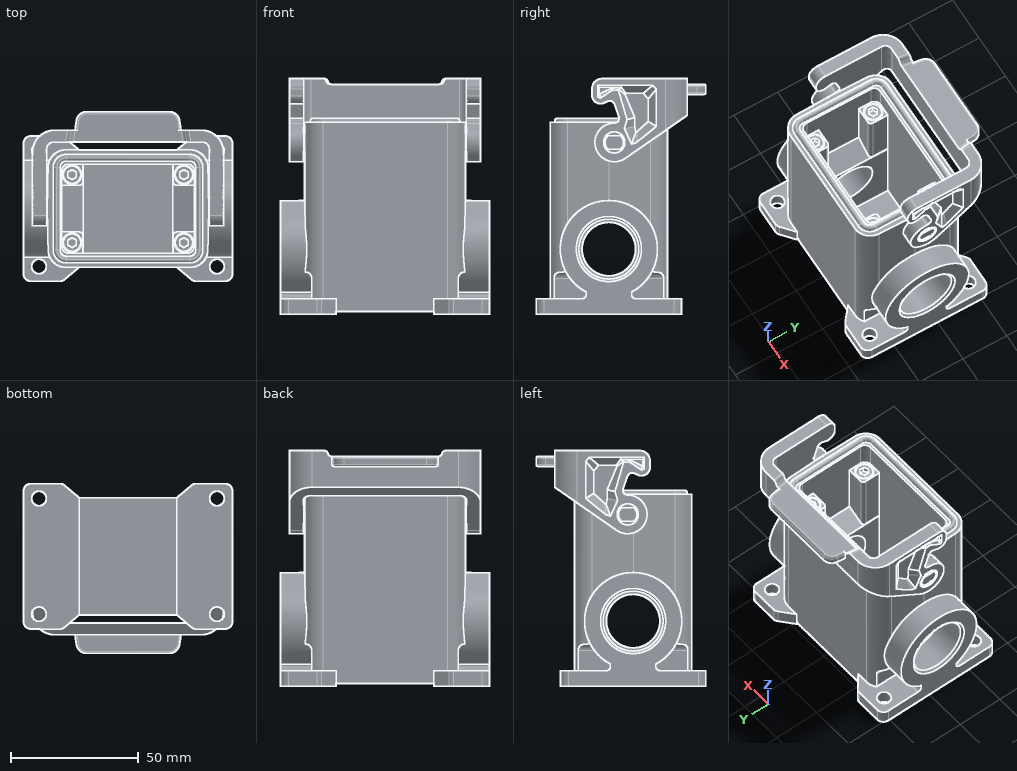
import cadquery as cq
import math

OVERALL_X, OVERALL_Y = 82.0, 66.5

BODY_BOTTOM, BODY_TOP = 1.1, 75.3
BODY_HALF_X, BODY_HALF_Y = 31.1, 23.0
SIDE_CROWN = 0.5
BODY_RADIUS = 6.9
CAVITY_HALF_X, CAVITY_HALF_Y = 26.0, 17.5
CAVITY_RADIUS = 2.8
FLOOR_Z = 4.6
BLOCK_INNER_X = 17.6
BLOCK_INNER_TOP, BLOCK_OUTER_TOP = 37.9, 41.95
WALL_MIDDLE_X = (CAVITY_HALF_X + BODY_HALF_X) / 2
RELIEF_X = 28.7
RELIEF_TOP = 16.6

LIP_HALF_X, LIP_HALF_Y = 29.3, 21.25
LIP_WIDTH, LIP_HEIGHT = 2.7, 1.6
LIP_ROUND = 1.3

POST_SIZE, POST_TOP, POST_ROUND = 8.3, 64.7, 1.4
SCREW_X, SCREW_Y = 21.9, 13.3
SCREW_HEAD_RADIUS, SCREW_GAP, SCREW_GAP_DEPTH = 3.4, 0.3, 0.9
SOCKET_ACROSS_CORNERS, SOCKET_DEPTH = 3.9, 2.3

FOOT_LENGTH_Y, FOOT_HEIGHT = 57.0, 6.2
FOOT_HALF_X, FOOT_HALF_Y = OVERALL_X / 2, FOOT_LENGTH_Y / 2
FOOT_RADIUS, FOOT_BEND_RADIUS = 3.05, 2.8
FOOT_BEND_X, FOOT_END_X = 25.7, 19.1
FOOT_HOLE_X, FOOT_HOLE_Y, FOOT_HOLE_DIAMETER = 34.8, 22.6, 5.6

ENTRY_Z, ENTRY_RADIUS = 25.6, 19.0
ENTRY_BORE_RADIUS, ENTRY_CHAMFER, ENTRY_OPENING_RADIUS = 11.7, 1.0, 10.4
ENTRY_SEAT_X = 27.9
WEB_HALF_Y, WEB_FILLET = 8.9, 1.6

LEVER_HALF_X, LEVER_INNER_X = 37.4, 31.9
LEVER_BACK_Y, LEVER_INNER_Y = 30.8, 26.1
LEVER_OUTER_RADIUS, LEVER_INNER_RADIUS = 8.8, 2.9
LEVER_TOP, LEVER_BACK_BOTTOM = 92.4, 78.0
HUB_Y, HUB_Z, HUB_RADIUS = 2.1, 67.4, 7.6
HUB_CORNER_RADIUS = 1.9
PIN_RADIUS, PIN_FLAT, PIN_GAP, PIN_GAP_DEPTH = 3.6, 5.4, 0.6, 0.9
POCKET_DEPTH, HOOK_POCKET_DEPTH = 2.8, 0.9

TAB_BOTTOM, TAB_TOP = 86.1, 90.1
TAB_END_Y = OVERALL_Y - FOOT_HALF_Y
TAB_ROOT_HALF_X, TAB_END_HALF_X = 21.4, 19.8
TAB_RADIUS, TAB_EDGE = 4.25, 0.8
NOTCH_RUN = 3.05

SIDES = (-1, 1)


def rounded_block(half_x, half_y, z_low, z_high, radius):
    block = cq.Workplane("XY").workplane(offset=z_low).rect(2 * half_x, 2 * half_y)
    return block.extrude(z_high - z_low).edges("|Z").fillet(radius)


def mirrored(shape):
    """The shape together with its copy across the YZ plane."""
    return shape.union(shape.mirror("YZ"))


def make_body():
    """Rounded box with slightly swelling sides, relieved near the base."""
    half_outline = [
        (0, -BODY_HALF_Y), (BODY_HALF_X, -BODY_HALF_Y), (BODY_HALF_X + SIDE_CROWN, 0),
        (BODY_HALF_X, BODY_HALF_Y), (0, BODY_HALF_Y),
    ]
    outline = half_outline + [(-x, y) for x, y in half_outline[-2:0:-1]]
    body = cq.Workplane("XY").workplane(offset=BODY_BOTTOM).polyline(outline).close()
    body = body.extrude(BODY_TOP - BODY_BOTTOM)
    body = body.edges("|Z").edges(">Y or <Y").fillet(BODY_RADIUS)

    relief_depth = BODY_HALF_X - RELIEF_X
    relief = (
        cq.Workplane("XZ")
        .moveTo(RELIEF_X, 0)
        .lineTo(RELIEF_X, RELIEF_TOP - relief_depth)
        .radiusArc((BODY_HALF_X, RELIEF_TOP), relief_depth)
        .lineTo(FOOT_HALF_X, RELIEF_TOP)
        .lineTo(FOOT_HALF_X, 0)
        .close()
        .extrude(BODY_HALF_Y, both=True)
    )
    return body.cut(mirrored(relief))


def make_lip():
    outer_radius = BODY_RADIUS - (BODY_HALF_X - LIP_HALF_X)
    top = BODY_TOP + LIP_HEIGHT
    outer = rounded_block(LIP_HALF_X, LIP_HALF_Y, BODY_TOP, top, outer_radius)
    inner = rounded_block(
        LIP_HALF_X - LIP_WIDTH, LIP_HALF_Y - LIP_WIDTH, BODY_TOP, top, outer_radius - LIP_WIDTH
    )
    return outer.cut(inner).faces(">Z").edges().fillet(LIP_ROUND)


def make_cavity():
    cavity = rounded_block(CAVITY_HALF_X, CAVITY_HALF_Y, FLOOR_Z, BODY_TOP, CAVITY_RADIUS)
    block = (
        cq.Workplane("XZ")
        .polyline([
            (BLOCK_INNER_X, FLOOR_Z), (CAVITY_HALF_X, FLOOR_Z),
            (CAVITY_HALF_X, BLOCK_OUTER_TOP), (BLOCK_INNER_X, BLOCK_INNER_TOP),
        ])
        .close()
        .extrude(CAVITY_HALF_Y, both=True)
    )
    return cavity.cut(mirrored(block))


def make_post():
    """Corner post at +X +Y, with its screw head sunk flush in the top."""
    overlap = 1.85
    post = (
        cq.Workplane("XY").workplane(offset=FLOOR_Z)
        .moveTo(CAVITY_HALF_X - POST_SIZE, CAVITY_HALF_Y - POST_SIZE)
        .rect(POST_SIZE + overlap, POST_SIZE + overlap, centered=False)
        .extrude(POST_TOP - FLOOR_Z)
        .edges("|Z and <X and <Y").fillet(POST_ROUND)
    )
    top = cq.Workplane("XY").workplane(offset=POST_TOP).center(SCREW_X, SCREW_Y)
    gap = top.circle(SCREW_HEAD_RADIUS + SCREW_GAP).circle(SCREW_HEAD_RADIUS).extrude(-SCREW_GAP_DEPTH)
    socket = top.transformed(rotate=(0, 0, 90)).polygon(6, SOCKET_ACROSS_CORNERS).extrude(-SOCKET_DEPTH)
    return post.cut(gap).cut(socket)


def make_foot():
    """Mounting foot on the +X side."""
    foot = (
        cq.Workplane("XY")
        .polyline([
            (FOOT_END_X, -BODY_HALF_Y), (FOOT_BEND_X, -FOOT_HALF_Y), (FOOT_HALF_X, -FOOT_HALF_Y),
            (FOOT_HALF_X, FOOT_HALF_Y), (FOOT_BEND_X, FOOT_HALF_Y), (FOOT_END_X, BODY_HALF_Y),
        ])
        .close()
        .extrude(FOOT_HEIGHT)
    )
    foot = foot.edges("|Z").edges("<Y or >Y").edges("<X").fillet(FOOT_BEND_RADIUS)
    foot = foot.edges("|Z and >X").fillet(FOOT_RADIUS)
    holes = cq.Workplane("XY").pushPoints([(FOOT_HOLE_X, side * FOOT_HOLE_Y) for side in SIDES])
    return foot.cut(holes.circle(FOOT_HOLE_DIAMETER / 2).extrude(FOOT_HEIGHT))


def add_entry_bosses(part):
    """Round bosses on both sides, each standing on a web that rises from the foot."""
    length = FOOT_HALF_X - WALL_MIDDLE_X
    plane = cq.Workplane("YZ").workplane(offset=WALL_MIDDLE_X)
    boss = plane.center(0, ENTRY_Z).circle(ENTRY_RADIUS).extrude(length)
    web = plane.center(0, ENTRY_Z / 2).rect(2 * WEB_HALF_Y, ENTRY_Z).extrude(length)
    return part.union(mirrored(boss.union(web)))


def make_entry_bore():
    """Stepped bore through the +X wall, revolved about the entry axis."""
    mouth = ENTRY_BORE_RADIUS + ENTRY_CHAMFER
    return (
        cq.Workplane("XY").workplane(offset=ENTRY_Z)
        .polyline([
            (0, 0), (0, ENTRY_OPENING_RADIUS), (ENTRY_SEAT_X, ENTRY_OPENING_RADIUS),
            (ENTRY_SEAT_X, ENTRY_BORE_RADIUS), (FOOT_HALF_X - ENTRY_CHAMFER, ENTRY_BORE_RADIUS),
            (FOOT_HALF_X, mouth), (FOOT_HALF_X, 0),
        ])
        .close()
        .revolve(360, (0, 0, 0), (1, 0, 0))
    )


def lever_side_profile():
    """Arm outline: back bar, slope down to the hub, hub and hook."""
    back_to_hub = (HUB_Y - LEVER_BACK_Y, HUB_Z - LEVER_BACK_BOTTOM)
    distance = math.hypot(*back_to_hub)
    angle = math.atan2(-back_to_hub[1], -back_to_hub[0]) - math.acos(HUB_RADIUS / distance)
    tangent = (HUB_Y + HUB_RADIUS * math.cos(angle), HUB_Z + HUB_RADIUS * math.sin(angle))
    hub_top = HUB_Z + HUB_RADIUS
    return (
        cq.Workplane("YZ").workplane(offset=-LEVER_HALF_X)
        .moveTo(LEVER_BACK_Y, LEVER_TOP)
        .lineTo(LEVER_BACK_Y, LEVER_BACK_BOTTOM)
        .lineTo(*tangent)
        .threePointArc((HUB_Y - HUB_RADIUS, HUB_Z), (HUB_Y, hub_top))
        .radiusArc((HUB_Y + HUB_CORNER_RADIUS, hub_top + HUB_CORNER_RADIUS), -HUB_CORNER_RADIUS)
        .lineTo(2.2, 82.2)
        .threePointArc((1.3, 83.3), (-0.4, 83.4))
        .lineTo(-2.6, 82.5)
        .threePointArc((-5.2, 83.1), (-6.65, 85.7))
        .lineTo(-6.65, 88.3)
        .threePointArc((-5.4, 91.3), (-2.6, LEVER_TOP))
        .close()
    )


def outer_face_recess(rim, floor, depth):
    """Solid between a rim on the outer face of the -X arm and a smaller floor inside it."""
    return (
        cq.Workplane("YZ").workplane(offset=-LEVER_HALF_X).polyline(rim).close()
        .workplane(offset=depth).polyline(floor).close()
        .loft(ruled=True)
    )


def make_lever_pocket():
    """Sloped-wall recess in the outer face of the -X arm, with its shallow hook end."""
    rim = [
        (18.6, 88.15), (17.2, 89.7), (4.25, 89.7), (3.6, 88.3), (7.1, 76.3),
        (6.1, 72.8), (8.9, 66.7), (10.7, 67.3), (18.6, 73.6),
    ]
    floor = [
        (15.4, 84.45), (13.5, 86.6), (6.65, 86.6), (6.4, 86.1), (10.2, 77.1),
        (10.2, 73.6), (10.5, 71.3), (11.2, 71.7), (15.4, 75.6),
    ]
    main = outer_face_recess(rim, floor, POCKET_DEPTH)
    hook_rim = [(4.8, 89.7), (-4.4, 89.7), (-4.4, 85.3), (-3.3, 84.7), (1.3, 87.8), (4.8, 88.0)]
    hook_floor = [(4.8, 89.0), (-3.8, 89.0), (-3.8, 86.6), (-3.5, 86.4), (1.1, 88.6), (4.8, 88.8)]
    hook = outer_face_recess(hook_rim, hook_floor, HOOK_POCKET_DEPTH)
    return main.union(hook)


def make_pivot_gap():
    """Shallow gap round the flat-sided end of the -X pivot pin."""
    end = cq.Workplane("YZ").workplane(offset=-LEVER_HALF_X).center(HUB_Y, HUB_Z)
    pin_end = end.circle(PIN_RADIUS).extrude(PIN_GAP_DEPTH)
    pin_end = pin_end.intersect(end.rect(2 * PIN_RADIUS, PIN_FLAT).extrude(PIN_GAP_DEPTH))
    return end.circle(PIN_RADIUS + PIN_GAP).extrude(PIN_GAP_DEPTH).cut(pin_end)


def make_lever():
    bow_front = -HUB_RADIUS * 2
    depth = LEVER_BACK_Y - bow_front
    inner_depth = LEVER_INNER_Y - bow_front
    bow = (
        cq.Workplane("XY").center(0, bow_front + depth / 2).rect(2 * LEVER_HALF_X, depth)
        .extrude(LEVER_TOP).edges("|Z and >Y").fillet(LEVER_OUTER_RADIUS)
    )
    opening = (
        cq.Workplane("XY").center(0, bow_front + inner_depth / 2).rect(2 * LEVER_INNER_X, inner_depth)
        .extrude(LEVER_TOP).edges("|Z and >Y").fillet(LEVER_INNER_RADIUS)
    )
    lever = bow.cut(opening).intersect(lever_side_profile().extrude(2 * LEVER_HALF_X))
    return lever.cut(mirrored(make_lever_pocket())).cut(mirrored(make_pivot_gap()))


def tab_half_x(y):
    """Half width of the tapered tab at a given Y."""
    taper = (TAB_ROOT_HALF_X - TAB_END_HALF_X) / (TAB_END_Y - LEVER_INNER_Y)
    return TAB_ROOT_HALF_X - taper * (y - LEVER_INNER_Y)


def make_tab_notch():
    """Dip in the top of the lever that follows the taper of the tab."""
    middle_z = (TAB_TOP + LEVER_TOP) / 2
    half_run, half_rise = NOTCH_RUN / 2, (LEVER_TOP - TAB_TOP) / 2
    radius = (half_run**2 + half_rise**2) / (2 * half_rise)

    def section(y):
        low = tab_half_x(y)
        middle, high = low + half_run, low + NOTCH_RUN
        outline = (
            cq.Workplane("XZ", origin=(0, y, 0))
            .moveTo(-high, LEVER_TOP)
            .radiusArc((-middle, middle_z), radius)
            .radiusArc((-low, TAB_TOP), -radius)
            .lineTo(low, TAB_TOP)
            .radiusArc((middle, middle_z), -radius)
            .radiusArc((high, LEVER_TOP), radius)
            .close()
        )
        return outline.val()

    return cq.Workplane(cq.Solid.makeLoft([section(LEVER_INNER_Y), section(LEVER_BACK_Y)], True))


def make_tab():
    tab = (
        cq.Workplane("XY").workplane(offset=TAB_BOTTOM)
        .polyline([
            (-TAB_ROOT_HALF_X, LEVER_INNER_Y), (TAB_ROOT_HALF_X, LEVER_INNER_Y),
            (TAB_END_HALF_X, TAB_END_Y), (-TAB_END_HALF_X, TAB_END_Y),
        ])
        .close()
        .extrude(TAB_TOP - TAB_BOTTOM)
        .edges("|Z and >Y").fillet(TAB_RADIUS)
    )
    return tab.faces(">Z or <Z").edges("not <Y").fillet(TAB_EDGE)


body = make_body().union(make_lip()).union(mirrored(make_foot()))
body = add_entry_bosses(body)

for side_x in SIDES:
    for side_y in SIDES:
        corner = (side_x * (RELIEF_X + FOOT_HALF_X) / 2, side_y * WEB_HALF_Y, FOOT_HEIGHT)
        body = body.edges(cq.selectors.NearestToPointSelector(corner)).fillet(WEB_FILLET)
body = body.cut(make_cavity())

post = make_post()
body = body.union(mirrored(post.union(post.mirror("XZ"))))
body = body.cut(mirrored(make_entry_bore()))

lever = make_lever().cut(make_tab_notch()).union(make_tab())

pin = cq.Workplane("YZ").workplane(offset=WALL_MIDDLE_X).center(HUB_Y, HUB_Z)
pin = pin.circle(PIN_RADIUS).extrude((LEVER_INNER_X + LEVER_HALF_X) / 2 - WALL_MIDDLE_X)

result = body.union(mirrored(pin)).union(lever)